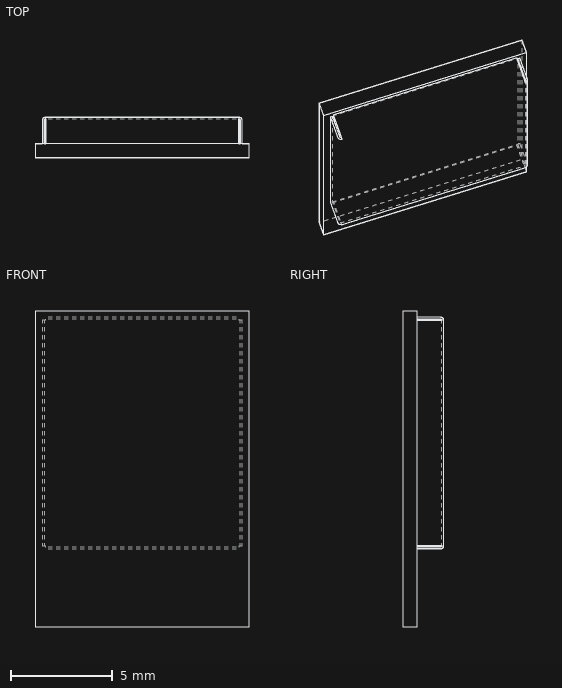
import cadquery as cq

board_width = 10.5
board_height = 15.5
board_thickness = 0.7
board_top = board_height / 2

can_width = 9.8
can_length = 11.38
can_depth = 1.3
can_top_margin = 0.3
sheet = 0.1
bend_radius = 0.15

pad_long = 0.6
pad_short = 0.4
pad_depth = 0.03
top_row_count = 13
top_row_span = 9.6
pad_pitch = top_row_span / (top_row_count - 1)
short_row_count = 6

top_row_drop = 0.6
upper_short_row_drop = 1.5
lower_short_row_drop = 7.2
outer_column_drop = 1.6
inner_column_drop = 2.8
last_pad_drop = 11.5

outer_column_offset = 4.65
inner_column_offset = 3.75

outer_left_slots = [0, 1, 2, 3, 4, 6, 7, 8, 10, 11]
outer_right_slots = [3, 4, 5, 6, 7, 8, 10, 11]
inner_left_slots = range(11)
inner_right_slots = range(2, 7)


def row_points(count, drop):
    """Pad centres of a horizontal row centred on the board."""
    first_x = -pad_pitch * (count - 1) / 2
    return [(first_x + i * pad_pitch, board_top - drop) for i in range(count)]


def column_points(x, drop, slots):
    """Pad centres of a vertical column whose slot 0 lies at the given drop."""
    return [(x, board_top - drop - slot * pad_pitch) for slot in slots]


def make_pads(points, size_x, size_z):
    """Pad blocks reaching from the -Y face of the board into it."""
    return cq.Workplane("XZ").pushPoints(points).rect(size_x, size_z).extrude(-pad_depth)


def upright_plate(size_x, size_y, size_z):
    """Box centred in X and Z that starts at Y = 0."""
    return cq.Workplane("XY").box(size_x, size_y, size_z, centered=(True, False, True))


def rounded_block(inset, radius):
    """Solid form of the can, inset on all sides but the open one, with its back edges rounded."""
    block = upright_plate(can_width - 2 * inset, can_depth - inset, can_length - 2 * inset)
    return block.faces(">Y").edges().fillet(radius)


def make_can():
    """Hollow box, open towards the board, with its corners cut out where the bends begin."""
    shell = rounded_block(0, bend_radius).cut(rounded_block(sheet, bend_radius - sheet))
    corner_cuts = (
        cq.Workplane("XZ")
        .rect(can_width - bend_radius, can_length - bend_radius, forConstruction=True)
        .vertices()
        .rect(bend_radius, bend_radius)
        .extrude(-can_depth)
    )
    center_z = board_top - can_top_margin - can_length / 2
    return shell.cut(corner_cuts).translate((0, board_thickness, center_z))


def make_all_pads():
    """Upright pads in the three rows and sideways pads in the four columns."""
    upright = (
        row_points(top_row_count, top_row_drop)
        + row_points(short_row_count, upper_short_row_drop)
        + row_points(short_row_count, lower_short_row_drop)
    )
    sideways = (
        column_points(-outer_column_offset, outer_column_drop, outer_left_slots)
        + column_points(outer_column_offset, outer_column_drop, outer_right_slots)
        + column_points(-inner_column_offset, inner_column_drop, inner_left_slots)
        + column_points(inner_column_offset, inner_column_drop, inner_right_slots)
        + [(side * outer_column_offset, board_top - last_pad_drop) for side in (-1, 1)]
    )
    return make_pads(upright, pad_short, pad_long).union(make_pads(sideways, pad_long, pad_short))


board = upright_plate(board_width, board_thickness, board_height)
pads = make_all_pads()

result = board.union(make_can()).cut(pads).union(pads, clean=False)